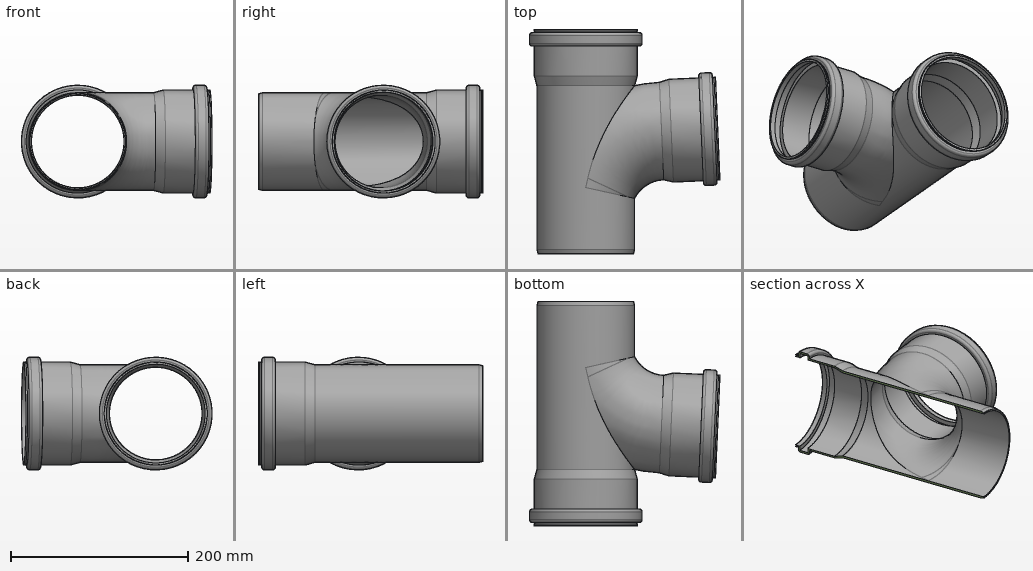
import cadquery as cq
import math


run_length = 253.0
pipe_radius = 110.3 / 2
bore_radius = 104.2 / 2
spigot_chamfer_length = 4.5
spigot_chamfer_depth = 1.3

socket_radius = 116.5 / 2
socket_bore_radius = 111.3 / 2
bead_radius = 127.3 / 2
bead_groove_radius = 121.7 / 2
lip_length = 3.5
bead_back_depth = 19.0
cone_top_depth = 52.5
socket_depth = 63.5
bead_wall = 2.5
bead_fillet = 3.3
lip_waist = 0.8
lip_rim = 1.8

branch_start_y = 74.6
start_angle = 65.0
end_angle = 2.5
straight_length = 10.5
bend_radius = 93.9


def direction(angle):
    """Unit vector in the XY plane, angle in degrees from +X."""
    return cq.Vector(math.cos(math.radians(angle)), math.sin(math.radians(angle)), 0)


branch_start = cq.Vector(0, branch_start_y, 0)
bend_start = branch_start + direction(start_angle) * straight_length
bend_centre = bend_start + direction(start_angle - 90) * bend_radius
bend_middle = bend_centre + direction((start_angle + end_angle) / 2 + 90) * bend_radius
bend_end = bend_centre + direction(end_angle + 90) * bend_radius


def revolve_profile(profile):
    """Revolve a radius/height profile around Y."""
    return profile.close().revolve(360, (0, 0, 0), (0, 1, 0))


def socket_outside():
    """Solid socket body along +Y, starting at the foot of its cone."""
    bead_top = socket_depth - lip_length
    bead_bottom = socket_depth - bead_back_depth
    profile = (
        cq.Workplane("XY")
        .lineTo(pipe_radius, 0)
        .lineTo(socket_radius, socket_depth - cone_top_depth)
        .lineTo(socket_radius, bead_bottom)
        .lineTo(bead_radius - bead_fillet, bead_bottom)
        .radiusArc((bead_radius, bead_bottom + bead_fillet), -bead_fillet)
        .lineTo(bead_radius, bead_top - bead_fillet)
        .radiusArc((bead_radius - bead_fillet, bead_top), -bead_fillet)
        .lineTo(socket_radius - lip_waist, bead_top)
        .lineTo(socket_radius, socket_depth - lip_rim)
        .lineTo(socket_radius, socket_depth)
        .lineTo(0, socket_depth)
    )
    return revolve_profile(profile)


def socket_inside():
    """Cavity of the socket, with the seal groove inside the bead."""
    groove_bottom = socket_depth - bead_back_depth + bead_wall
    groove_top = socket_depth - lip_length - bead_wall
    profile = (
        cq.Workplane("XY")
        .lineTo(bore_radius, 0)
        .lineTo(socket_bore_radius, socket_depth - cone_top_depth)
        .lineTo(socket_bore_radius, groove_bottom)
        .lineTo(bead_groove_radius, groove_bottom)
        .lineTo(bead_groove_radius, groove_top)
        .lineTo(socket_bore_radius, groove_top)
        .lineTo(socket_bore_radius, socket_depth)
        .lineTo(0, socket_depth)
    )
    return revolve_profile(profile)


def on_run(socket):
    return socket.translate((0, run_length - socket_depth, 0))


def on_branch(socket):
    return socket.rotate((0, 0, 0), (0, 0, 1), end_angle - 90).translate(bend_end)


def elbow(radius):
    """Solid bend of the branch with the given radius."""
    path = (
        cq.Workplane("XY")
        .moveTo(branch_start.x, branch_start.y)
        .lineTo(bend_start.x, bend_start.y)
        .threePointArc(bend_middle.toTuple()[:2], bend_end.toTuple()[:2])
    )
    start_plane = cq.Plane(branch_start, (0, 0, 1), direction(start_angle))
    return cq.Workplane(start_plane).circle(radius).sweep(path)


def run_pipe():
    """Solid straight pipe with a chamfered spigot end."""
    profile = (
        cq.Workplane("XY")
        .lineTo(pipe_radius - spigot_chamfer_depth, 0)
        .lineTo(pipe_radius, spigot_chamfer_length)
        .lineTo(pipe_radius, run_length - socket_depth)
        .lineTo(0, run_length - socket_depth)
    )
    return revolve_profile(profile)


def run_bore():
    return cq.Workplane("XZ").circle(bore_radius).extrude(-(run_length - socket_depth))


outside = run_pipe().union(on_run(socket_outside()))
outside = outside.union(elbow(pipe_radius)).union(on_branch(socket_outside()))

result = outside.cut(run_bore()).cut(on_run(socket_inside()))
result = result.cut(elbow(bore_radius)).cut(on_branch(socket_inside())).solids()